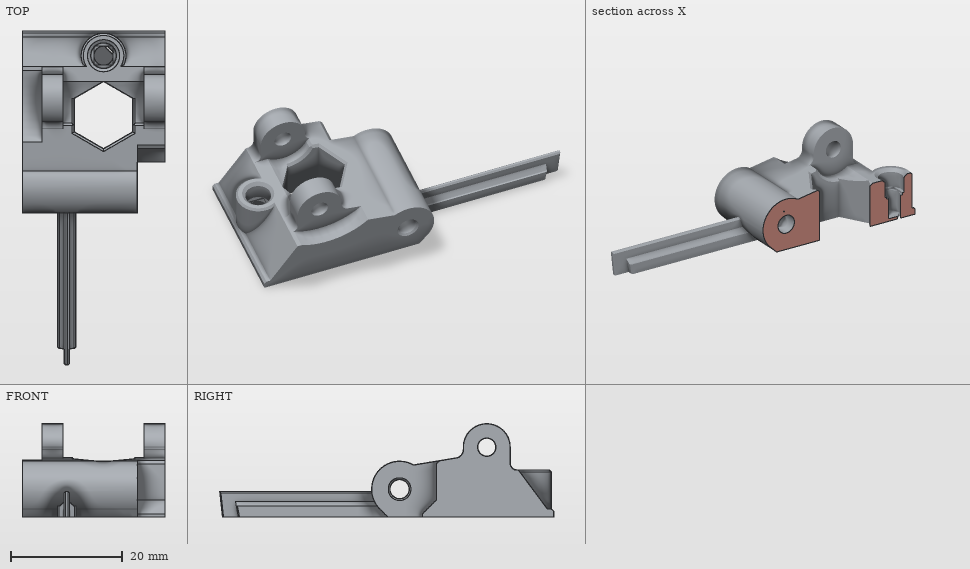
import cadquery as cq
import math


body_width = 25.5
barrel_width = 20.55
back_y = 27.55
overall_height = 16.7
overall_length = 59.69
center_x = 14.5

pivot_z = 5.0
barrel_radius = 5.0
pivot_hole_diameter = 3.4
pivot_hole_chamfer = 0.33

deck_z = 8.45
deck_back_y = 21.2
slope_start_y = 2.5
slope_angle = 9.4
slope_end_y = 13.5
lip_height = 1.45
lip_slope_y = 26.4
lip_chamfer = 0.4

lug_radius = 4.2
lug_hole_diameter = 3.2
lug_y = 15.57
lug_z = overall_height - lug_radius
lug_width = 3.8
lug_outer_x = 3.5
lug_back_fillet = 1.2
lug_front_fillet = 1.5
lug_starts = (lug_outer_x, body_width - lug_width)
inner_span_start = lug_outer_x + lug_width
inner_span = body_width - lug_width - inner_span_start

inner_groove_radius = 5.0
groove_chamfer_on_deck = 0.55
groove_chamfer_in_groove = 0.3
outer_groove_radius = 13.0
outer_groove_z = 20.5

hex_y = 12.5
hex_corner_radius = 6.0
hex_flat_radius = hex_corner_radius * math.cos(math.radians(30))
edge_chamfer = 0.45

notch_wall_y = 6.55
notch_toe_y = 4.1
notch_toe_height = 0.6
notch_wall_z = 3.05
notch_chamfer = 0.5

boss_y = 23.1
boss_radius = 4.0
boss_chamfer = 0.38
boss_mouth_radius = 2.87
boss_bore_radius = 2.3
boss_bore_floor_z = 5.0
boss_square_side = 3.4
boss_square_depth = 0.4
boss_floor_thickness = 0.6
boss_slit_length = 1.6
boss_slit_width = 0.35
boss_slit_offset = 1.5

tail_x = 7.93
tail_end_y = back_y - overall_length
fin_width = 0.9
fin_height = 4.6
fin_chamfer = 0.28
foot_end_y = -29.3
foot_width = 3.25
foot_shoulder_width = 2.6
foot_side_height = 1.95
foot_top_height = 2.75
tail_end_lean = 0.5
tail_end_bevel = 0.2


def slope_z(y):
    """Height of the sloping deck at a given Y."""
    start_z = pivot_z + math.sqrt(barrel_radius**2 - slope_start_y**2)
    return start_z + (y - slope_start_y) * math.tan(math.radians(slope_angle))


def side_plane(x):
    """Plane at X = x whose local axes are Y and Z, with its normal along +X."""
    return cq.Workplane("YZ", origin=(x, 0, 0))


def x_cylinder(x_start, length, y, z, radius):
    return side_plane(x_start).center(y, z).circle(radius).extrude(length)


def make_wedge():
    tangent = barrel_radius * math.sqrt(0.5)
    heel_z = pivot_z - tangent
    return (
        side_plane(0)
        .moveTo(heel_z - tangent, 0)
        .lineTo(-tangent, heel_z)
        .threePointArc((-tangent, pivot_z + tangent), (slope_start_y, slope_z(slope_start_y)))
        .lineTo(slope_end_y, slope_z(slope_end_y))
        .lineTo(slope_end_y, deck_z)
        .lineTo(deck_back_y, deck_z)
        .lineTo(lip_slope_y, lip_height)
        .lineTo(back_y - lip_chamfer, lip_height)
        .lineTo(back_y, lip_height - lip_chamfer)
        .lineTo(back_y, 0)
        .close()
        .extrude(body_width)
    )


def make_barrel_notch():
    """Region removed to the right of the barrel, down to the stepped end wall."""
    top_z = slope_z(notch_wall_y)
    clear = 2 * barrel_radius
    return (
        side_plane(barrel_width)
        .moveTo(-clear, 0)
        .lineTo(notch_toe_y, 0)
        .lineTo(notch_toe_y, notch_toe_height)
        .lineTo(notch_wall_y, notch_wall_z)
        .lineTo(notch_wall_y, top_z - notch_chamfer)
        .lineTo(notch_wall_y + 2 * notch_chamfer, top_z + notch_chamfer)
        .lineTo(-clear, top_z + notch_chamfer)
        .close()
        .extrude(body_width - barrel_width)
    )


def hex_points(radius, rise):
    """Window corners at the given radius, each lifted by `rise` from the sloping deck."""
    points = []
    for corner in range(6):
        angle = math.radians(30 + 60 * corner)
        y = hex_y + radius * math.sin(angle)
        points.append(cq.Vector(center_x + radius * math.cos(angle), y, slope_z(y) + rise))
    return points


def make_hex_window():
    outline = [(point.x, point.y) for point in hex_points(hex_corner_radius, 0)]
    return cq.Workplane("XY").polyline(outline).close().extrude(overall_height)


def chamfer_groove_front(body):
    """Break the edge where the inner groove meets the sloping deck."""
    front_edges = cq.selectors.BoxSelector(
        (inner_span_start, lug_y - inner_groove_radius, deck_z),
        (inner_span_start + inner_span, lug_y - inner_groove_radius / 2, overall_height),
    )
    return body.edges("|X").edges(front_edges).chamfer(groove_chamfer_in_groove, groove_chamfer_on_deck)


def make_deck_rim_cutter():
    """Flared window that chamfers its rim on the deck in front of the inner groove."""
    flare = edge_chamfer / math.cos(math.radians(30))
    lower_rim = cq.Wire.makePolygon(hex_points(hex_corner_radius, -edge_chamfer), close=True)
    upper_rim = cq.Wire.makePolygon(hex_points(hex_corner_radius + 2 * flare, edge_chamfer), close=True)
    flared = cq.Workplane(cq.Solid.makeLoft([lower_rim, upper_rim], True))
    front_part = cq.Workplane("XY").rect(body_width, hex_y, centered=False).extrude(overall_height)
    return flared.intersect(front_part)


def make_groove_rim_cutter():
    """Cone-ended drum around the lug axis that chamfers the window's sides in the groove."""
    drum = (
        cq.Workplane("XY", origin=(center_x, lug_y, lug_z))
        .moveTo(-hex_flat_radius - edge_chamfer, 0)
        .lineTo(-hex_flat_radius - edge_chamfer, inner_groove_radius)
        .lineTo(-hex_flat_radius, inner_groove_radius + edge_chamfer)
        .lineTo(hex_flat_radius, inner_groove_radius + edge_chamfer)
        .lineTo(hex_flat_radius + edge_chamfer, inner_groove_radius)
        .lineTo(hex_flat_radius + edge_chamfer, 0)
        .close()
        .revolve(360, (0, 0, 0), (1, 0, 0))
    )
    side_stretch = (
        cq.Workplane("XY", origin=(center_x, hex_y, 0))
        .rect(body_width, hex_corner_radius)
        .extrude(overall_height)
    )
    return drum.intersect(side_stretch)


def make_lug(x_start):
    """Round-topped lug on a foot that blends into the deck at both ends."""
    slope = math.radians(slope_angle)
    front_y = lug_y - lug_radius
    back_face_y = lug_y + lug_radius
    center_y = front_y - lug_front_fillet
    center_z = slope_z(center_y) + lug_front_fillet / math.cos(slope)
    foot_y = center_y + lug_front_fillet * math.sin(slope)
    foot_z = center_z - lug_front_fillet * math.cos(slope)
    mid_angle = (math.pi / 2 - slope) / 2
    front_mid = (
        center_y + lug_front_fillet * math.cos(mid_angle),
        center_z - lug_front_fillet * math.sin(mid_angle),
    )
    back_mid_offset = lug_back_fillet * (1 - math.sqrt(0.5))
    return (
        side_plane(x_start)
        .moveTo(foot_y, 0)
        .lineTo(foot_y, foot_z)
        .threePointArc(front_mid, (front_y, center_z))
        .lineTo(front_y, lug_z)
        .threePointArc((lug_y, overall_height), (back_face_y, lug_z))
        .lineTo(back_face_y, deck_z + lug_back_fillet)
        .threePointArc(
            (back_face_y + back_mid_offset, deck_z + back_mid_offset),
            (back_face_y + lug_back_fillet, deck_z),
        )
        .lineTo(back_face_y + lug_back_fillet, 0)
        .close()
        .extrude(lug_width)
    )


def make_boss():
    return (
        cq.Workplane("XY")
        .center(center_x, boss_y)
        .circle(boss_radius)
        .extrude(deck_z)
        .faces(">Z")
        .chamfer(boss_chamfer)
    )


def make_boss_hole():
    """Countersunk bore, then a square step, then a blind round hole with a slit in its floor."""
    mouth_depth = boss_mouth_radius - boss_bore_radius
    square_floor_z = boss_bore_floor_z - boss_square_depth
    axis = cq.Workplane("XY").center(center_x, boss_y)
    bore = (
        axis.workplane(offset=boss_bore_floor_z)
        .circle(boss_bore_radius)
        .extrude(deck_z - boss_bore_floor_z)
    )
    mouth = (
        axis.workplane(offset=deck_z - mouth_depth)
        .circle(boss_bore_radius)
        .workplane(offset=mouth_depth)
        .circle(boss_mouth_radius)
        .loft()
    )
    square = (
        axis.workplane(offset=square_floor_z)
        .rect(boss_square_side, boss_square_side)
        .extrude(boss_square_depth)
    )
    shaft = (
        axis.workplane(offset=boss_floor_thickness)
        .circle(boss_square_side / 2)
        .extrude(square_floor_z - boss_floor_thickness)
    )
    slit = (
        axis.transformed(rotate=(0, 0, 45))
        .center(boss_slit_offset, 0)
        .rect(boss_slit_width, boss_slit_length)
        .extrude(square_floor_z)
    )
    return bore.union(mouth).union(square).union(shaft).union(slit)


def make_pivot_hole():
    hole = x_cylinder(0, barrel_width, 0, pivot_z, pivot_hole_diameter / 2)
    mouth = (
        side_plane(0)
        .center(0, pivot_z)
        .circle(pivot_hole_diameter / 2 + pivot_hole_chamfer)
        .workplane(offset=pivot_hole_chamfer)
        .circle(pivot_hole_diameter / 2)
        .loft()
    )
    return hole.union(mouth).union(mouth.mirror("YZ", (barrel_width / 2, 0, 0)))


def finish_tail_end(strip, end_y, height):
    """Lean the free end of a strip so that it is longest at the top, and bevel its upright corners."""
    cutter = (
        side_plane(tail_x - foot_width)
        .moveTo(end_y, height)
        .lineTo(end_y + tail_end_lean, 0)
        .lineTo(end_y, 0)
        .close()
        .extrude(2 * foot_width)
    )
    trimmed = strip.cut(cutter)
    return trimmed.faces("<Y").edges("<X or >X").chamfer(tail_end_bevel)


def make_tail():
    """Upright fin on a shouldered foot, starting inside the barrel's heel."""
    root_y = pivot_z - barrel_radius * math.sqrt(2)
    fin = (
        cq.Workplane("XZ", origin=(tail_x, root_y, 0))
        .center(0, fin_height / 2)
        .rect(fin_width, fin_height)
        .extrude(root_y - tail_end_y)
        .faces(">Z")
        .edges("|Y")
        .chamfer(fin_chamfer)
    )
    foot = (
        cq.Workplane("XZ", origin=(tail_x, root_y, 0))
        .moveTo(-foot_width / 2, 0)
        .lineTo(-foot_width / 2, foot_side_height)
        .lineTo(-foot_shoulder_width / 2, foot_side_height)
        .lineTo(-fin_width / 2, foot_top_height)
        .lineTo(fin_width / 2, foot_top_height)
        .lineTo(foot_shoulder_width / 2, foot_side_height)
        .lineTo(foot_width / 2, foot_side_height)
        .lineTo(foot_width / 2, 0)
        .close()
        .extrude(root_y - foot_end_y)
    )
    return fin, foot


body = make_wedge().cut(make_barrel_notch())
body = body.cut(x_cylinder(inner_span_start, inner_span, lug_y, lug_z, inner_groove_radius))
body = chamfer_groove_front(body)
body = body.cut(make_hex_window())
body = body.cut(make_deck_rim_cutter()).cut(make_groove_rim_cutter())
body = body.union(make_boss())
body = body.cut(make_boss_hole())
body = body.cut(x_cylinder(0, lug_outer_x, lug_y, outer_groove_z, outer_groove_radius))
for lug_start in lug_starts:
    body = body.union(make_lug(lug_start))
    body = body.cut(x_cylinder(lug_start, lug_width, lug_y, lug_z, lug_hole_diameter / 2))
fin, foot = make_tail()
body = body.union(finish_tail_end(fin, tail_end_y, fin_height))
body = body.union(finish_tail_end(foot, foot_end_y, foot_top_height))
result = body.cut(make_pivot_hole())